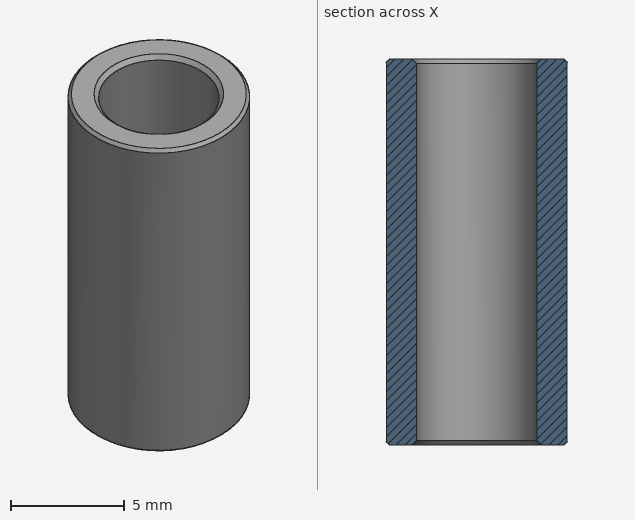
import cadquery as cq

outer_diameter = 8.0
bore_diameter = 5.3
length = 17.0

outer_chamfer = 0.15
bore_chamfer = 0.2


def sleeve_profile():
    """Half section of the sleeve wall: radius along X, sleeve axis along Y."""
    outer_radius = outer_diameter / 2
    bore_radius = bore_diameter / 2
    half_length = length / 2
    return (
        cq.Workplane("XZ")
        .moveTo(bore_radius, -half_length + bore_chamfer)
        .lineTo(bore_radius + bore_chamfer, -half_length)
        .lineTo(outer_radius - outer_chamfer, -half_length)
        .lineTo(outer_radius, -half_length + outer_chamfer)
        .lineTo(outer_radius, half_length - outer_chamfer)
        .lineTo(outer_radius - outer_chamfer, half_length)
        .lineTo(bore_radius + bore_chamfer, half_length)
        .lineTo(bore_radius, half_length - bore_chamfer)
        .close()
    )


result = sleeve_profile().revolve(360, (0, 0, 0), (0, 1, 0))